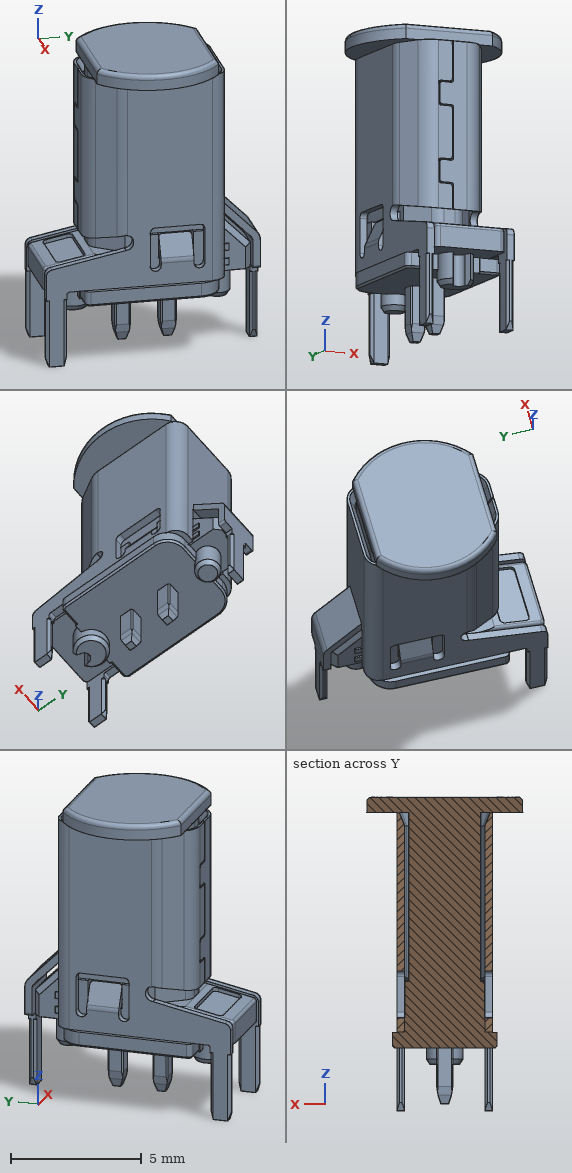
import cadquery as cq
import math


SEAT_TOP = 0.6
SHEET = 0.3
SHELL_HALF_WIDTH = 1.83
SHELL_HALF_DEPTH = 2.73
SHELL_TOP = 9.0
FRONT_Y = -4.38
INNER_HALF_WIDTH = SHELL_HALF_WIDTH - SHEET
INNER_HALF_DEPTH = SHELL_HALF_DEPTH - SHEET
SLOPE = math.tan(math.radians(10.8))

CAP_THICKNESS = 0.6
CAP_RADIUS = 2.995
CAP_HALF_DEPTH = 2.38
CAP_ROUND = 0.19

FRONT_FLAT_HALF = 0.6
FRONT_RADIUS = 0.8
FLANK_ANGLE = math.radians(60)
REAR_RADIUS = 0.6
MOUTH_CHAMFER_WIDTH = 0.2
MOUTH_CHAMFER_DEPTH = 0.5
SEAM_GAP = 0.05
SEAM_ROUND = 0.1
SEAM_TAB_REACH = 0.57
SEAM_TAB_HEIGHT = 0.92
SEAM_TAB_CENTERS = (3.91, 6.94)

SLOT_RADIUS = 0.3
SLOT_CENTER_Y = -1.25
SLOT_CENTER_Z = 2.42
LEG_BOTTOM = -2.4
LEG_WIDTH = 0.82
BLADE_TOP = 0.3
BEVEL = 0.12
BLADE_EDGE = 0.09
TIP_HEIGHT = 0.33
ARM_CORNER_ROUND = 0.28
CROTCH_ROUND = 0.1

WINDOW_CENTER_Y = 0.775
WINDOW_WIDTH = 2.14
WINDOW_TOP = 2.94
WINDOW_BOTTOM = 1.17
WINDOW_ROUND = 0.2
TAB_WIDTH = 1.29
TAB_ROOT = 1.4
TAB_BEND = 1.58
TAB_BEND_ROUND = 0.43
TAB_TOP = 2.52
TAB_LEAN = 0.45
TAB_CORNER_ROUND = 0.12
TAB_CLEARANCE = 0.04

STRAP_HALF_WIDTH = 0.875
STRAP_REAR_Y = 4.24
STRAP_WALL_Z = 3.46
STRAP_BEND_ROUND = 0.5
STRAP_SHOULDER_ROUND = 0.1
NOTCH_CLEARANCE = 0.01

BASE_TOP = 2.56
BASE_FRONT_Y = -0.85
TOWER_HALF_WIDTH = 1.38
TOWER_FLAT_HALF = 0.23
TOWER_FRONT_Y = -2.39
TOWER_REAR_Y = 2.4
TOWER_RADIUS = 0.52
TOWER_FLANK_ANGLE = math.radians(53.6)
FLANGE_HALF_WIDTH = 2.0
FLANGE_FRONT_Y = -2.86
FLANGE_REAR_Y = 2.52
FLANGE_FRONT_ROUND = 0.2
FLANGE_REAR_ROUND = 0.85
FLANGE_CHAMFER = 0.08
FLANGE_PLAIN_HALF = 1.06
FLANGE_PLAIN_Y = -2.895
NOSE_HALF_WIDTH = 1.45
NOSE_TOP = 1.885
NOSE_SLOPE_Y = -2.4
NOSE_CORNER_ROUND = 0.18
NOSE_TOP_ROUND = 0.13
LABEL_HALF_WIDTH = 1.24
LABEL_REAR_Y = -2.69
LABEL_FRONT_Y = -3.84
LABEL_ROUND = 0.17
LABEL_DEPTH = 0.15
TAIL_HALF_WIDTH = 0.85
TAIL_REAR_Y = 3.9
TAIL_SLOPE_DROP = 0.7
TAIL_CHAMFER = 0.24
RIB_HALF_SPAN = 0.91
RIB_REAR_Y = 3.0
RIB_HEIGHT = 0.27
RIB_CENTERS = (0.975, 1.575)

PEG_BOTTOM = -0.62
PEG_CHAMFER_HEIGHT = 0.2
PEG_CHAMFER_WIDTH = 0.13
REAR_PEG_Y = 2.725
REAR_PEG_RADIUS = 0.505
FRONT_PEG_Y = -2.96
FRONT_PEG_RADIUS = 0.7
GROOVE_RADIUS = 0.24
GROOVE_MOUTH_HALF = 0.4
GROOVE_CENTER_Y = -3.3
PIN_CENTERS_Y = (0.77, -1.03)
PIN_WIDTH = 0.62
PIN_CHAMFER = 0.06
PIN_BOTTOM = -2.13
PIN_SHOULDER = -1.47
PIN_KNEE = -1.8
PIN_KNEE_HALF = 0.26
PIN_TIP_HALF = 0.15


def box(x_min, x_max, y_min, y_max, z_min, z_max):
    size = (x_max - x_min, y_max - y_min, z_max - z_min)
    return cq.Workplane("XY").box(*size, centered=False).translate((x_min, y_min, z_min))


def side_profile(points, half_width):
    """Closed outline of (y, z) points, extruded symmetrically about X = 0."""
    return cq.Workplane("YZ").polyline(points).close().extrude(half_width, both=True)


def both_sides(solid):
    return solid.union(solid.mirror("YZ"))


def arc_between(start_angle, end_angle, center, radius):
    """Middle and end point of an arc about center."""
    middle = (start_angle + end_angle) / 2
    return [
        (center[0] + radius * math.cos(angle), center[1] + radius * math.sin(angle))
        for angle in (middle, end_angle)
    ]


def tube_outline(inset):
    """Tube section: round rear corners, slanted front flanks blended by arcs."""
    front_radius = FRONT_RADIUS - inset
    rear_radius = REAR_RADIUS - inset
    half_width = SHELL_HALF_WIDTH - inset
    half_depth = SHELL_HALF_DEPTH - inset
    front_center = (FRONT_FLAT_HALF, FRONT_RADIUS - SHELL_HALF_DEPTH)
    rear_center = (SHELL_HALF_WIDTH - REAR_RADIUS, SHELL_HALF_DEPTH - REAR_RADIUS)
    down = -math.pi / 2
    flank_normal = down + FLANK_ANGLE
    nose_arc = arc_between(down, flank_normal, front_center, front_radius)
    side_center_x = SHELL_HALF_WIDTH - FRONT_RADIUS
    flank_length = (side_center_x - FRONT_FLAT_HALF) / math.cos(FLANK_ANGLE)
    side_center = (side_center_x, front_center[1] + flank_length * math.sin(FLANK_ANGLE))
    side_arc = arc_between(flank_normal, 0, side_center, front_radius)
    rear_arc = arc_between(0, math.pi / 2, rear_center, rear_radius)
    flank_end = (
        side_center[0] + front_radius * math.cos(flank_normal),
        side_center[1] + front_radius * math.sin(flank_normal),
    )
    half = (
        cq.Workplane("XY")
        .moveTo(0, -half_depth)
        .lineTo(FRONT_FLAT_HALF, -half_depth)
        .threePointArc(*nose_arc)
        .lineTo(*flank_end)
        .threePointArc(*side_arc)
        .lineTo(half_width, rear_center[1])
        .threePointArc(*rear_arc)
        .lineTo(0, half_depth)
    )
    return half.mirrorY()


def seam_side(margin):
    """Sheet on the +X side of the seam, with its two interlocking tabs, grown by margin."""
    far = 3 * SHELL_HALF_WIDTH
    side = box(-margin, far, -2 * SHELL_HALF_DEPTH, 0, SEAT_TOP - far, SHELL_TOP + far)
    for center in SEAM_TAB_CENTERS:
        half_height = SEAM_TAB_HEIGHT / 2 + margin
        tab_left = -SEAM_TAB_REACH - margin
        tab = box(tab_left, far / 2, -2 * SHELL_HALF_DEPTH, 0, center - half_height, center + half_height)
        side = side.union(tab)
    return side.edges("|Y").fillet(SEAM_ROUND)


def tube():
    height = SHELL_TOP - SEAT_TOP
    body = tube_outline(0).extrude(height).cut(tube_outline(SHEET).extrude(height))
    flare = math.degrees(math.atan(MOUTH_CHAMFER_WIDTH / MOUTH_CHAMFER_DEPTH))
    mouth = (
        tube_outline(SHEET - MOUTH_CHAMFER_WIDTH)
        .extrude(-MOUTH_CHAMFER_DEPTH, taper=flare)
        .translate((0, 0, height))
    )
    body = body.cut(mouth).translate((0, 0, SEAT_TOP))
    seam = seam_side(SEAM_GAP / 2).cut(seam_side(-SEAM_GAP / 2))
    return body.cut(seam)


def leg_blade(top):
    """Leg centred on X and Y, wide along Y: bevelled edges and a tapered tip."""
    half_width = LEG_WIDTH / 2
    flat_half = half_width - BEVEL
    section = [
        (SHEET / 2, -flat_half),
        (SHEET / 2, flat_half),
        (BLADE_EDGE / 2, half_width),
        (-BLADE_EDGE / 2, half_width),
        (-SHEET / 2, flat_half),
        (-SHEET / 2, -flat_half),
        (-BLADE_EDGE / 2, -half_width),
        (BLADE_EDGE / 2, -half_width),
    ]
    blade = cq.Workplane("XY").polyline(section).close().extrude(BLADE_TOP - LEG_BOTTOM)
    blade = blade.translate((0, 0, LEG_BOTTOM))
    tip_top = LEG_BOTTOM + TIP_HEIGHT
    silhouette = [
        (-flat_half, LEG_BOTTOM),
        (flat_half, LEG_BOTTOM),
        (half_width, tip_top),
        (half_width, BLADE_TOP),
        (-half_width, BLADE_TOP),
        (-half_width, tip_top),
    ]
    blade = blade.intersect(side_profile(silhouette, SHEET))
    shank = box(-SHEET / 2, SHEET / 2, -half_width, half_width, BLADE_TOP, top)
    return blade.union(shank)


def slot_edge(y, side):
    """Height of the slot's upper (side = 1) or lower (side = -1) edge at y."""
    offset = SLOT_RADIUS * math.sqrt(1 + SLOPE**2)
    return SLOT_CENTER_Z + SLOPE * (y - SLOT_CENTER_Y) + side * offset


def front_opening():
    """Everything below the slot's upper edge, in front of the slot end."""
    beyond = -SHELL_HALF_DEPTH - SHEET
    outline = [
        (SLOT_CENTER_Y, SEAT_TOP),
        (SLOT_CENTER_Y, slot_edge(SLOT_CENTER_Y, 1)),
        (beyond, slot_edge(beyond, 1)),
        (beyond, SEAT_TOP),
    ]
    return side_profile(outline, 2 * SHELL_HALF_WIDTH)


def side_arm():
    """Flat arm on the +X side with its front leg."""
    arm_start = SLOT_CENTER_Y + 2 * SLOT_RADIUS
    leg_inner = FRONT_Y + LEG_WIDTH
    outline = [
        (arm_start, SEAT_TOP),
        (arm_start, slot_edge(arm_start, -1)),
        (FRONT_Y, slot_edge(FRONT_Y, -1)),
        (FRONT_Y, BLADE_TOP),
        (leg_inner, BLADE_TOP),
        (leg_inner, SEAT_TOP),
    ]
    arm = side_profile(outline, SHEET / 2)
    front_corner = cq.selectors.NearestToPointSelector((0, FRONT_Y, slot_edge(FRONT_Y, -1)))
    crotch = cq.selectors.NearestToPointSelector((0, leg_inner, SEAT_TOP))
    arm = arm.edges("|X").edges(front_corner).fillet(ARM_CORNER_ROUND)
    arm = arm.edges("|X").edges(crotch).fillet(CROTCH_ROUND)
    leg = leg_blade(SEAT_TOP).translate((0, FRONT_Y + LEG_WIDTH / 2, 0))
    return arm.union(leg).translate((SHELL_HALF_WIDTH - SHEET / 2, 0, 0))


def slot_ends():
    return (
        cq.Workplane("YZ")
        .center(SLOT_CENTER_Y, SLOT_CENTER_Z)
        .circle(SLOT_RADIUS)
        .extrude(2 * SHELL_HALF_WIDTH, both=True)
    )


def latch_window():
    """Opening on the +X side: a broad head over two round-ended slots beside the tab."""
    half_window = WINDOW_WIDTH / 2
    half_tab = TAB_WIDTH / 2
    slot_round = (half_window - half_tab) / 2
    x_range = (INNER_HALF_WIDTH - SHEET / 2, SHELL_HALF_WIDTH + SHEET)
    window = box(*x_range, -half_window, half_window, TAB_TOP, WINDOW_TOP)
    window = window.edges("|X and >Z").fillet(WINDOW_ROUND)
    tab_head = box(*x_range, -half_tab, half_tab, TAB_ROOT, TAB_TOP)
    window = window.union(tab_head)
    for side in (-1, 1):
        center = side * (half_tab + slot_round)
        slot = box(*x_range, center - slot_round, center + slot_round, WINDOW_BOTTOM + slot_round, TAB_TOP)
        slot_end = (
            cq.Workplane("YZ", origin=(x_range[0], 0, 0))
            .center(center, WINDOW_BOTTOM + slot_round)
            .circle(slot_round)
            .extrude(x_range[1] - x_range[0])
        )
        window = window.union(slot).union(slot_end)
    return window.translate((0, WINDOW_CENTER_Y, 0))


def latch_tab():
    """Tab on the +X side, rooted at the bottom of the window and leaning inward."""
    outline = [
        (SHELL_HALF_WIDTH, TAB_ROOT),
        (SHELL_HALF_WIDTH, TAB_BEND),
        (SHELL_HALF_WIDTH - TAB_LEAN, TAB_TOP),
        (INNER_HALF_WIDTH - TAB_LEAN, TAB_TOP),
        (INNER_HALF_WIDTH, TAB_BEND),
        (INNER_HALF_WIDTH, TAB_ROOT),
    ]
    tab = cq.Workplane("XZ").polyline(outline).close().extrude(TAB_WIDTH / 2, both=True)
    outer_bend = cq.selectors.NearestToPointSelector((SHELL_HALF_WIDTH, 0, TAB_BEND))
    tab = tab.edges("|Y").edges(outer_bend).fillet(TAB_BEND_ROUND)
    tab = tab.faces(">Z").edges("|X").fillet(TAB_CORNER_ROUND)
    return tab.translate((0, WINDOW_CENTER_Y, 0))


def strap_inner_z(y):
    """Height of the underside of the 45 degree strap at y."""
    return STRAP_WALL_Z + SHELL_HALF_DEPTH - y - SHEET * math.sqrt(2)


def rear_notch():
    half_width = RIB_HALF_SPAN + NOTCH_CLEARANCE
    notch_top = strap_inner_z(SHELL_HALF_DEPTH)
    return box(-half_width, half_width, 0, 2 * SHELL_HALF_DEPTH, 0, notch_top)


def rear_strap():
    """Strap that leaves the rear wall at 45 degrees, turns down and narrows into a leg."""
    strap_inner_y = STRAP_REAR_Y - SHEET
    wall_middle_y = SHELL_HALF_DEPTH - SHEET / 2
    bend_z = STRAP_WALL_Z + SHELL_HALF_DEPTH - STRAP_REAR_Y
    outline = [
        (wall_middle_y, STRAP_WALL_Z),
        (SHELL_HALF_DEPTH, STRAP_WALL_Z),
        (STRAP_REAR_Y, bend_z),
        (STRAP_REAR_Y, SEAT_TOP),
        (strap_inner_y, SEAT_TOP),
        (strap_inner_y, strap_inner_z(strap_inner_y)),
        (wall_middle_y, strap_inner_z(wall_middle_y)),
    ]
    strap = side_profile(outline, STRAP_HALF_WIDTH)
    outer_bend = cq.selectors.NearestToPointSelector((0, STRAP_REAR_Y, bend_z))
    inner_bend = cq.selectors.NearestToPointSelector((0, strap_inner_y, strap_inner_z(strap_inner_y)))
    strap = strap.edges("|X").edges(outer_bend).fillet(STRAP_BEND_ROUND)
    strap = strap.edges("|X").edges(inner_bend).fillet(STRAP_BEND_ROUND - SHEET)
    strap = strap.faces("<Z").edges("|Y").fillet(STRAP_SHOULDER_ROUND)
    leg = leg_blade(SEAT_TOP).rotate((0, 0, 0), (0, 0, 1), 90)
    return strap.union(leg.translate((0, STRAP_REAR_Y - SHEET / 2, 0)))


def make_shell():
    shell = tube().cut(front_opening()).cut(rear_notch())
    shell = shell.union(both_sides(side_arm())).cut(slot_ends())
    shell = shell.cut(both_sides(latch_window())).union(both_sides(latch_tab()))
    return shell.union(rear_strap())


def cap():
    """Round pick-up plate with two flats, at the level of the tube rim."""
    plate = cq.Workplane("XY").circle(CAP_RADIUS).extrude(CAP_THICKNESS)
    flats = box(-CAP_RADIUS, CAP_RADIUS, -CAP_HALF_DEPTH, CAP_HALF_DEPTH, 0, CAP_THICKNESS)
    plate = plate.intersect(flats).faces(">Z").edges().fillet(CAP_ROUND)
    return plate.translate((0, 0, SHELL_TOP))


def tower():
    """Column inside the tube, from the flange to the cap, with slanted front flanks."""
    arc_center = (TOWER_FLAT_HALF, TOWER_FRONT_Y + TOWER_RADIUS)
    down = -math.pi / 2
    nose_arc = arc_between(down, down + TOWER_FLANK_ANGLE, arc_center, TOWER_RADIUS)
    flank_x, flank_y = nose_arc[1]
    flank_end_y = flank_y + (TOWER_HALF_WIDTH - flank_x) * math.tan(TOWER_FLANK_ANGLE)
    rear_round = REAR_RADIUS - SHEET
    half = (
        cq.Workplane("XY", origin=(0, 0, SEAT_TOP))
        .moveTo(0, TOWER_FRONT_Y)
        .lineTo(TOWER_FLAT_HALF, TOWER_FRONT_Y)
        .threePointArc(*nose_arc)
        .lineTo(TOWER_HALF_WIDTH, flank_end_y)
        .lineTo(TOWER_HALF_WIDTH, TOWER_REAR_Y - rear_round)
        .radiusArc((TOWER_HALF_WIDTH - rear_round, TOWER_REAR_Y), -rear_round)
        .lineTo(0, TOWER_REAR_Y)
    )
    return half.mirrorY().extrude(SHELL_TOP - SEAT_TOP)


def base():
    """Wide block that fills the foot of the tube behind the front flanks."""
    block = box(
        -INNER_HALF_WIDTH, INNER_HALF_WIDTH, BASE_FRONT_Y, INNER_HALF_DEPTH, SEAT_TOP, BASE_TOP
    )
    return block.edges("|Z and >Y").fillet(REAR_RADIUS - SHEET)


def tab_recess():
    """Pocket on the +X side for the leaning tab, as high as the base."""
    half_width = TAB_WIDTH / 2 + TAB_CLEARANCE
    floor_x = INNER_HALF_WIDTH - TAB_LEAN - TAB_CLEARANCE
    y_range = (WINDOW_CENTER_Y - half_width, WINDOW_CENTER_Y + half_width)
    return box(floor_x, SHELL_HALF_WIDTH, *y_range, TAB_BEND, BASE_TOP)


def flange():
    """Seating flange, chamfered underneath except at the middle of its front edge."""
    plate = box(-FLANGE_HALF_WIDTH, FLANGE_HALF_WIDTH, FLANGE_FRONT_Y, FLANGE_REAR_Y, 0, SEAT_TOP)
    plate = plate.edges("|Z and <Y").fillet(FLANGE_FRONT_ROUND)
    plate = plate.edges("|Z and >Y").fillet(FLANGE_REAR_ROUND)
    plate = plate.faces("<Z").edges().chamfer(FLANGE_CHAMFER)
    plain_front = box(-FLANGE_PLAIN_HALF, FLANGE_PLAIN_HALF, FLANGE_PLAIN_Y, 0, 0, SEAT_TOP)
    return plate.union(plain_front)


def nose_z(y):
    return NOSE_TOP + SLOPE * (y - NOSE_SLOPE_Y)


def nose():
    """Sloped front block between the side arms, with a shallow label recess on top."""
    outline = [
        (0, SEAT_TOP),
        (0, NOSE_TOP),
        (NOSE_SLOPE_Y, NOSE_TOP),
        (FRONT_Y, nose_z(FRONT_Y)),
        (FRONT_Y, SEAT_TOP),
    ]
    block = side_profile(outline, NOSE_HALF_WIDTH)
    block = block.edges("|Z and <Y").fillet(NOSE_CORNER_ROUND)
    slope_middle_y = (NOSE_SLOPE_Y + FRONT_Y) / 2
    slope_face = cq.selectors.NearestToPointSelector((0, slope_middle_y, nose_z(slope_middle_y)))
    block = block.faces(slope_face).edges("not >Y").fillet(NOSE_TOP_ROUND)
    label_outline = [
        (LABEL_REAR_Y, nose_z(LABEL_REAR_Y) - LABEL_DEPTH),
        (LABEL_REAR_Y, BASE_TOP),
        (LABEL_FRONT_Y, BASE_TOP),
        (LABEL_FRONT_Y, nose_z(LABEL_FRONT_Y) - LABEL_DEPTH),
    ]
    label = side_profile(label_outline, LABEL_HALF_WIDTH).edges("|Z").fillet(LABEL_ROUND)
    return block.cut(label)


def tail():
    """Sloped rear block under the strap, with small ribs on both sides."""
    wall_middle_y = SHELL_HALF_DEPTH - SHEET / 2
    slope_sum = STRAP_WALL_Z + SHELL_HALF_DEPTH - TAIL_SLOPE_DROP
    outline = [
        (0, SEAT_TOP),
        (TAIL_REAR_Y, SEAT_TOP),
        (TAIL_REAR_Y, slope_sum - TAIL_REAR_Y),
        (wall_middle_y, slope_sum - wall_middle_y),
        (0, slope_sum - wall_middle_y),
    ]
    block = side_profile(outline, TAIL_HALF_WIDTH)
    block = block.faces(">(0,1,1) or >Y").edges("not |X").chamfer(TAIL_CHAMFER)
    for center in RIB_CENTERS:
        z_range = (center - RIB_HEIGHT / 2, center + RIB_HEIGHT / 2)
        block = block.union(box(-RIB_HALF_SPAN, RIB_HALF_SPAN, 0, RIB_REAR_Y, *z_range))
    return block


def peg(center_y, radius):
    """Round locating peg with a chamfered end."""
    body = cq.Workplane("XY").circle(radius).extrude(SEAT_TOP - PEG_BOTTOM)
    body = body.faces("<Z").edges().chamfer(PEG_CHAMFER_HEIGHT, PEG_CHAMFER_WIDTH)
    return body.translate((0, center_y, PEG_BOTTOM))


def peg_groove():
    """Flared, round-bottomed groove along the front of the front peg."""
    mouth_y = FRONT_PEG_Y - FRONT_PEG_RADIUS
    return (
        cq.Workplane("XY", origin=(0, 0, PEG_BOTTOM))
        .moveTo(-GROOVE_MOUTH_HALF, mouth_y)
        .lineTo(-GROOVE_RADIUS, GROOVE_CENTER_Y)
        .threePointArc((0, GROOVE_CENTER_Y + GROOVE_RADIUS), (GROOVE_RADIUS, GROOVE_CENTER_Y))
        .lineTo(GROOVE_MOUTH_HALF, mouth_y)
        .close()
        .extrude(SEAT_TOP - PEG_BOTTOM)
    )


def pin(center_y):
    """Square contact pin with bevelled edges and a tapered tip."""
    half = PIN_WIDTH / 2
    body = box(-half, half, -half, half, PIN_BOTTOM, SEAT_TOP).edges("|Z").chamfer(PIN_CHAMFER)
    silhouette = [
        (half, SEAT_TOP),
        (half, PIN_SHOULDER),
        (PIN_KNEE_HALF, PIN_KNEE),
        (PIN_TIP_HALF, PIN_BOTTOM),
        (-PIN_TIP_HALF, PIN_BOTTOM),
        (-PIN_KNEE_HALF, PIN_KNEE),
        (-half, PIN_SHOULDER),
        (-half, SEAT_TOP),
    ]
    taper = side_profile(silhouette, PIN_WIDTH)
    body = body.intersect(taper).intersect(taper.rotate((0, 0, 0), (0, 0, 1), 90))
    return body.translate((0, center_y, 0))


def make_housing():
    housing = tower().union(base()).union(cap()).union(nose()).union(tail()).cut(both_sides(tab_recess()))
    housing = housing.union(flange())
    housing = housing.union(peg(REAR_PEG_Y, REAR_PEG_RADIUS))
    housing = housing.union(peg(FRONT_PEG_Y, FRONT_PEG_RADIUS).cut(peg_groove()))
    for center_y in PIN_CENTERS_Y:
        housing = housing.union(pin(center_y))
    return housing


shell = make_shell()
housing = make_housing()
result = cq.Compound.makeCompound([shell.solids().val(), housing.solids().val()])